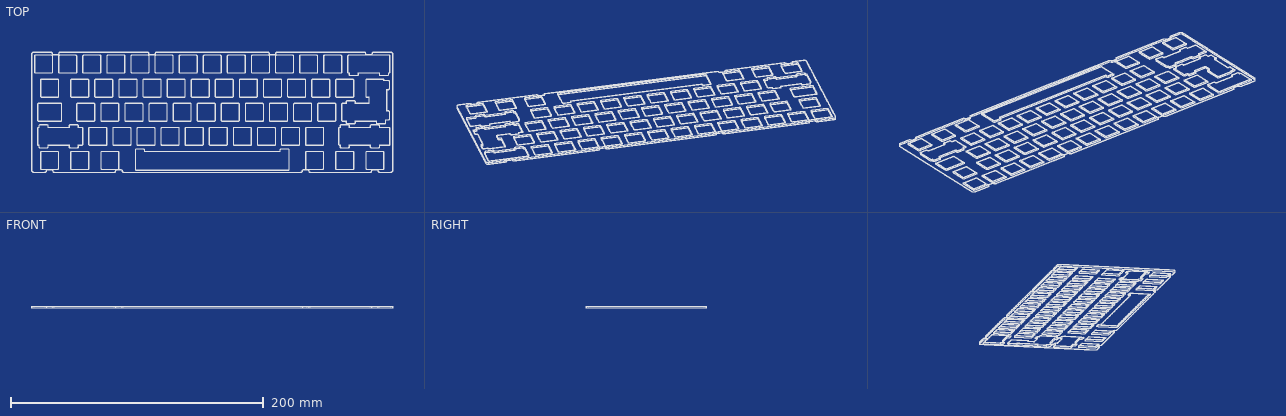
import cadquery as cq

UNIT = 19.05
COLUMNS = 15
ROWS = 5
THICKNESS = 1.5
LENGTH = COLUMNS * UNIT
WIDTH = ROWS * UNIT
CORNER_RADIUS = 2.0

SWITCH = 14.0
OPENING_RADIUS = 0.5

SLOT_WIDTH = 7.0
SLOT_REACH = 9.0
STABILISER_OFFSET = 11.94
SPACEBAR_OFFSET = 3 * UNIT
SPACEBAR_REACH_DOWN = 7.6

NOTCH_WIDTH = 5.0
NOTCH_FLARE = 1.3
NOTCH_FLOOR_RADIUS = 0.6
NOTCH_DEPTH = 2.0
TOP_NOTCHES = (1, 5, 10, 14)
BOTTOM_NOTCHES = (0.75, 3.625, 11.375, 14.25)

SWITCH_ROWS = (
    [0.5 + i for i in range(13)] + [13.5, 14, 14.5],
    [0.75] + [2 + i for i in range(11)] + [13, 14.25],
    [0.625, 0.875] + [2.25 + i for i in range(11)] + [13.25, 13.875],
    [0.625, 1.125, 1.75] + [2.75 + i for i in range(10)] + [13.125, 13.625, 14.5],
    [0.75, 2, 3.25, 11.75, 13, 14.25],
)

BACKSPACE = (14, 0.5)
ENTER = (13.875, 2.5)
TALL_ENTER = (14.375, 2)
LEFT_SHIFT = (1.125, 3.5)
RIGHT_SHIFT = (13.625, 3.5)
SPACEBAR = (7.5, 4.5)


def place(column, row):
    """Plate coordinates of a spot given in key units from the top left corner."""
    return column * UNIT - LENGTH / 2, WIDTH / 2 - row * UNIT


def box(x_min, x_max, y_min, y_max, radius=OPENING_RADIUS):
    """Cutter through the full plate thickness, with rounded corners."""
    return (
        cq.Workplane("XY")
        .center((x_min + x_max) / 2, (y_min + y_max) / 2)
        .rect(x_max - x_min, y_max - y_min)
        .extrude(THICKNESS)
        .edges("|Z")
        .fillet(radius)
    )


def blank():
    return cq.Workplane("XY").rect(LENGTH, WIDTH).extrude(THICKNESS).edges("|Z").fillet(CORNER_RADIUS)


def switch_opening(column, row):
    x, y = place(column, row)
    half = SWITCH / 2
    return box(x - half, x + half, y - half, y + half)


def stabiliser_opening(key, offset=STABILISER_OFFSET, reach_up=SLOT_REACH, reach_down=SLOT_REACH):
    """Two slots joined by a middle opening as high as a switch."""
    x, y = place(*key)
    opening = box(x - offset, x + offset, y - SWITCH / 2, y + SWITCH / 2)
    for slot_x in (x - offset, x + offset):
        slot = box(slot_x - SLOT_WIDTH / 2, slot_x + SLOT_WIDTH / 2, y - reach_down, y + reach_up)
        opening = opening.union(slot)
    return opening


def tall_enter_opening():
    """Stabiliser opening turned upright for the two-row enter key."""
    x, y = place(*TALL_ENTER)
    opening = stabiliser_opening(TALL_ENTER)
    return opening.rotate((x, y, 0), (x, y, 1), 90)


def spacebar_opening():
    x, y = place(*SPACEBAR)
    half_length = SPACEBAR_OFFSET + SLOT_WIDTH / 2
    middle = box(x - half_length, x + half_length, y - SPACEBAR_REACH_DOWN, y + SWITCH / 2)
    slots = stabiliser_opening(SPACEBAR, SPACEBAR_OFFSET, SLOT_REACH, SPACEBAR_REACH_DOWN)
    return middle.union(slots)


def edge_notch(column, side):
    """Notch cut into a long edge, with a flared mouth; side is +1 for the +Y edge, -1 for -Y."""
    x, _ = place(column, 0)
    edge = side * WIDTH / 2
    floor = edge - side * NOTCH_DEPTH
    flare_end = edge - side * NOTCH_FLARE
    half_mouth = NOTCH_WIDTH / 2 + NOTCH_FLARE
    y_low, y_high = sorted((floor, edge + side * NOTCH_DEPTH))
    groove = box(x - NOTCH_WIDTH / 2, x + NOTCH_WIDTH / 2, y_low, y_high, NOTCH_FLOOR_RADIUS)
    rounded_lips = (
        cq.Workplane("XY")
        .pushPoints([(x - half_mouth, flare_end), (x + half_mouth, flare_end)])
        .circle(NOTCH_FLARE)
        .extrude(THICKNESS)
    )
    mouth = (
        cq.Workplane("XY")
        .center(x, (edge + flare_end) / 2)
        .rect(2 * half_mouth, NOTCH_FLARE)
        .extrude(THICKNESS)
        .cut(rounded_lips)
    )
    return groove.union(mouth)


plate = blank()

for row_index, columns in enumerate(SWITCH_ROWS):
    for column in columns:
        plate = plate.cut(switch_opening(column, row_index + 0.5))

for key in (ENTER, LEFT_SHIFT, RIGHT_SHIFT):
    plate = plate.cut(stabiliser_opening(key))
plate = plate.cut(stabiliser_opening(BACKSPACE, reach_up=SWITCH / 2))
plate = plate.cut(tall_enter_opening())
plate = plate.cut(spacebar_opening())

for column in TOP_NOTCHES:
    plate = plate.cut(edge_notch(column, 1))
for column in BOTTOM_NOTCHES:
    plate = plate.cut(edge_notch(column, -1))

result = plate